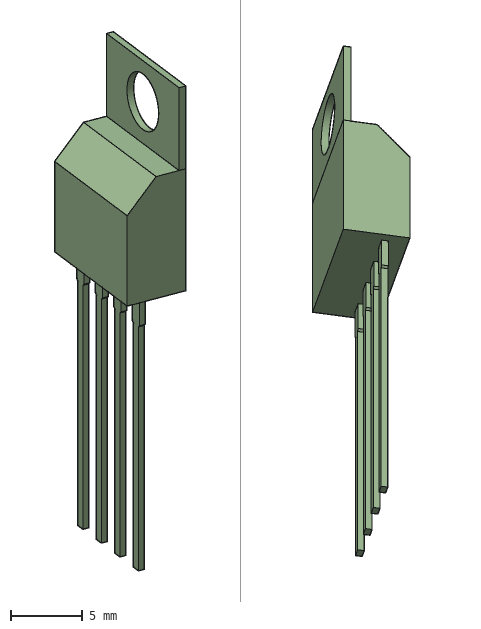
import cadquery as cq

total_height = 37.4
body_width = 10.0

tab_height = 6.47
tab_thickness = 0.55
hole_diameter = 4.35
hole_from_top = 3.2

housing_height = 9.55
housing_depth = 4.8
bevel_depth = 2.35
bevel_height = 2.45

lead_count = 4
lead_pitch = 2.55
lead_thickness = 0.5
lead_center_depth = 3.15
shoulder_width = 1.0
shoulder_length = 2.17
tip_width = 0.7

housing_top = total_height - tab_height
housing_bottom = housing_top - housing_height
taper_top = housing_bottom - shoulder_length
taper_bottom = taper_top - (shoulder_width - tip_width) / 2


def make_tab():
    """Flat mounting tab standing on the housing, with a round screw hole."""
    plate = cq.Workplane("XY").box(
        body_width, tab_thickness, tab_height, centered=(True, False, False)
    )
    plate = plate.translate((0, -tab_thickness, housing_top))
    hole = (
        cq.Workplane("XZ")
        .center(0, total_height - hole_from_top)
        .circle(hole_diameter / 2)
        .extrude(tab_thickness)
    )
    return plate.cut(hole)


def make_housing():
    """Block with a bevel along its upper front edge."""
    return (
        cq.Workplane("YZ", origin=(-body_width / 2, 0, 0))
        .moveTo(0, housing_bottom)
        .lineTo(0, housing_top)
        .lineTo(bevel_depth - housing_depth, housing_top)
        .lineTo(-housing_depth, housing_top - bevel_height)
        .lineTo(-housing_depth, housing_bottom)
        .close()
        .extrude(body_width)
    )


def make_lead(x):
    """Flat lead centred on x: wide shoulder, short taper, narrow tip."""
    shoulder = shoulder_width / 2
    tip = tip_width / 2
    lead_back = -(lead_center_depth - lead_thickness / 2)
    return (
        cq.Workplane("XZ", origin=(x, lead_back, 0))
        .moveTo(-shoulder, housing_bottom)
        .lineTo(shoulder, housing_bottom)
        .lineTo(shoulder, taper_top)
        .lineTo(tip, taper_bottom)
        .lineTo(tip, 0)
        .lineTo(-tip, 0)
        .lineTo(-tip, taper_bottom)
        .lineTo(-shoulder, taper_top)
        .close()
        .extrude(lead_thickness)
    )


tab = make_tab()
housing = make_housing()
first_lead_x = -lead_pitch * (lead_count - 1) / 2
leads = [make_lead(first_lead_x + i * lead_pitch) for i in range(lead_count)]

result = cq.Compound.makeCompound(
    [tab.val(), housing.val(), *[lead.val() for lead in leads]]
)